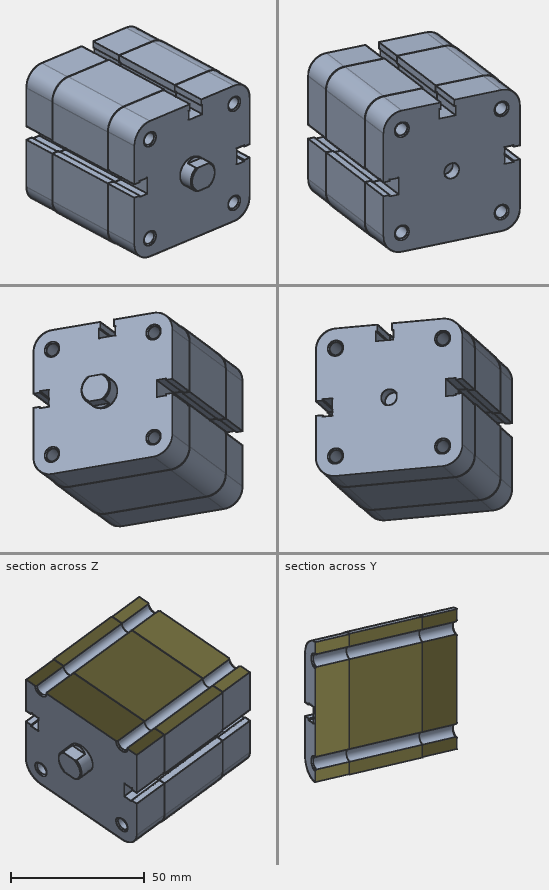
import cadquery as cq


TOTAL_LENGTH = 67.5
CAP_LENGTH = 14.85
TUBE_LENGTH = 31.4
FRONT_CAP_START = CAP_LENGTH + TUBE_LENGTH

TUBE_SIDE = 58.0
BOLT_PITCH = 42.05
TUBE_CORNER_RADIUS = (TUBE_SIDE - BOLT_PITCH) / 2
CAP_INSET = 0.2

SLOT_OFFSET = 1.75
SLOT_MOUTH_WIDTH = 5.25
SLOT_INNER_WIDTH = 6.4
SLOT_LIP_DEPTH = 3.05
SLOT_DEPTH = 6.5
SLOT_ANGLES = (0, 90, -90)

BOLT_HOLE_DIAMETER = 5.0
BOLT_CHAMFER = 0.55
CENTRE_HOLE_DIAMETER = 6.2
CENTRE_HOLE_DEPTH = 5.0

ROD_DIAMETER = 12.0
ROD_END_CHAMFER = 0.4
FLAT_ACROSS = 10.0
FLAT_LENGTH = 5.0
FLAT_RUNOUT = 0.6


def t_slot(x_start, length, inset):
    """Cutter for a T-slot in the +Z side, with its walls moved outward by the inset."""
    half_mouth = SLOT_MOUTH_WIDTH / 2 + inset
    half_inner = SLOT_INNER_WIDTH / 2 + inset
    top = TUBE_SIDE / 2
    lip = top - SLOT_LIP_DEPTH + inset
    floor = top - SLOT_DEPTH - inset
    outline = [
        (-half_mouth, top),
        (-half_mouth, lip),
        (-half_inner, lip),
        (-half_inner, floor),
        (half_inner, floor),
        (half_inner, lip),
        (half_mouth, lip),
        (half_mouth, top),
    ]
    slot = cq.Workplane("YZ", origin=(x_start, SLOT_OFFSET, 0)).polyline(outline).close()
    return slot.extrude(length)


def slotted_block(x_start, length, inset):
    """Rounded square length of the cylinder body with its T-slots and bolt holes."""
    side = TUBE_SIDE - 2 * inset
    face = cq.Workplane("YZ", origin=(x_start, 0, 0))
    block = face.rect(side, side).extrude(length)
    block = block.edges("|X").fillet(TUBE_CORNER_RADIUS - inset)

    slot = t_slot(x_start, length, inset)
    for angle in SLOT_ANGLES:
        block = block.cut(slot.rotate((0, 0, 0), (1, 0, 0), angle))

    bolt_holes = face.rect(BOLT_PITCH, BOLT_PITCH, forConstruction=True).vertices()
    return block.cut(bolt_holes.circle(BOLT_HOLE_DIAMETER / 2).extrude(length))


def make_cap(x_start, outer_face):
    """End cap with chamfered bolt holes on its outer face ("<X" or ">X")."""
    cap = slotted_block(x_start, CAP_LENGTH, CAP_INSET)
    bolt_mouths = cq.selectors.RadiusNthSelector(0)
    return cap.faces(outer_face).edges(bolt_mouths).chamfer(BOLT_CHAMFER)


def make_rear_cap():
    centre_hole = cq.Workplane("YZ").circle(CENTRE_HOLE_DIAMETER / 2).extrude(CENTRE_HOLE_DEPTH)
    return make_cap(0, "<X").cut(centre_hole)


def make_tube():
    return slotted_block(CAP_LENGTH, TUBE_LENGTH, 0)


def make_front_cap():
    cap_face = cq.Workplane("YZ", origin=(FRONT_CAP_START, 0, 0))
    rod_bore = cap_face.circle(ROD_DIAMETER / 2).extrude(CAP_LENGTH)
    return make_cap(FRONT_CAP_START, ">X").cut(rod_bore)


def make_piston_rod():
    """Rod through the front cap, with two wrench flats facing +Z and -Z."""
    radius = ROD_DIAMETER / 2
    half_flat = FLAT_ACROSS / 2
    rod_face = cq.Workplane("YZ", origin=(FRONT_CAP_START, 0, 0))
    rod = rod_face.circle(radius).extrude(TOTAL_LENGTH - FRONT_CAP_START)
    rod = rod.faces(">X").chamfer(ROD_END_CHAMFER)

    flat_start = TOTAL_LENGTH - FLAT_LENGTH
    flat_outline = [
        (TOTAL_LENGTH, half_flat),
        (flat_start, half_flat),
        (flat_start - FLAT_RUNOUT, radius),
        (TOTAL_LENGTH, radius),
    ]
    flat = cq.Workplane("XZ").polyline(flat_outline).close().extrude(radius, both=True)
    return rod.cut(flat).cut(flat.mirror("XY"))


rear_cap = make_rear_cap()
tube = make_tube()
front_cap = make_front_cap()
piston_rod = make_piston_rod()

result = cq.Compound.makeCompound([rear_cap.val(), tube.val(), front_cap.val(), piston_rod.val()])